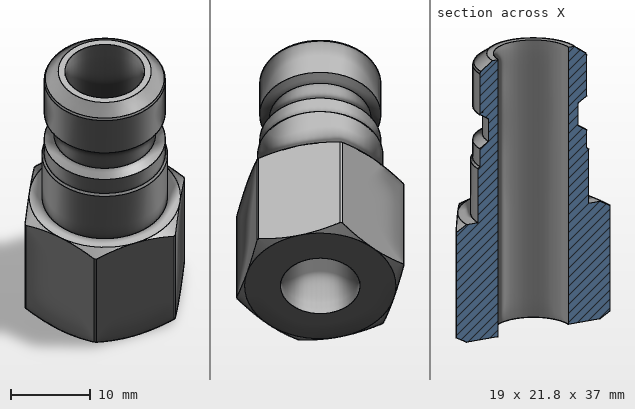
import cadquery as cq
import math

total_length = 37.0
across_flats = 19.0
corner_diameter = 21.8
hex_height = 15.72
hex_chamfer_angle = 30.0

sleeve_diameter = 15.8
sleeve_top = 22.9
sleeve_edge_height = 0.25
collar_diameter = 15.25
collar_top = 25.53
groove_diameter = 12.8
groove_bottom = 26.3
groove_top = 29.3
head_bottom = 30.05
head_top = 35.52
nose_diameter = 14.95
nose_bottom = 35.8
tip_diameter = 11.7
bore_diameter = 10.0


def revolve_profile(points):
    """Revolve a closed (radius, height) outline about the Z axis."""
    return cq.Workplane("XZ").polyline(points).close().revolve(360, (0, 0, 0), (0, 1, 0))


def make_hex_base():
    """Hexagon with flats facing +X and -X, and both ends chamfered at the corners."""
    flat_radius = across_flats / 2
    corner_radius = corner_diameter / 2
    circumscribed_diameter = across_flats / math.cos(math.radians(30))
    chamfer_height = (corner_radius - flat_radius) * math.tan(math.radians(hex_chamfer_angle))
    prism = (
        cq.Workplane("XY")
        .polygon(6, circumscribed_diameter)
        .extrude(hex_height)
        .rotate((0, 0, 0), (0, 0, 1), 30)
    )
    envelope = revolve_profile([
        (0, 0),
        (flat_radius, 0),
        (corner_radius, chamfer_height),
        (corner_radius, hex_height - chamfer_height),
        (flat_radius, hex_height),
        (0, hex_height),
    ])
    return prism.intersect(envelope)


def make_nipple():
    """Stepped plug with a locking groove and a tapered nose."""
    return revolve_profile([
        (0, 0),
        (sleeve_diameter / 2, 0),
        (sleeve_diameter / 2, sleeve_top),
        (collar_diameter / 2, sleeve_top + sleeve_edge_height),
        (collar_diameter / 2, collar_top),
        (groove_diameter / 2, groove_bottom),
        (groove_diameter / 2, groove_top),
        (collar_diameter / 2, head_bottom),
        (collar_diameter / 2, head_top),
        (nose_diameter / 2, nose_bottom),
        (tip_diameter / 2, total_length),
        (0, total_length),
    ])


bore = cq.Workplane("XY").circle(bore_diameter / 2).extrude(total_length)

result = make_hex_base().union(make_nipple()).cut(bore)